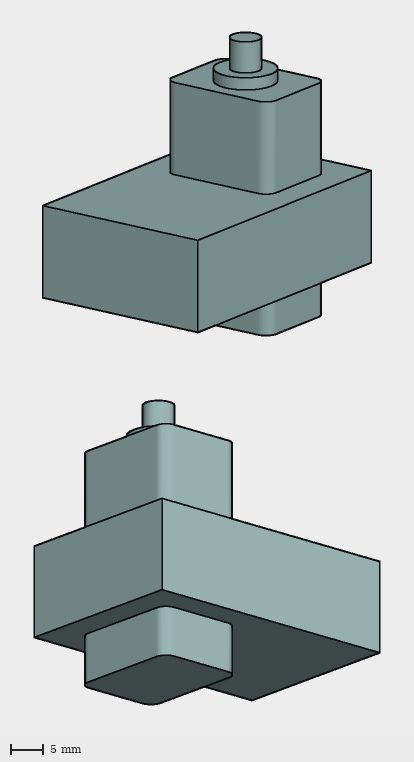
import cadquery as cq

total_height = 45.0
plate_length = 45.0
plate_width = 30.0
plate_thickness = 15.0

column_margin = 5.0
column_width = plate_width - 2 * column_margin
column_depth = 15.0
column_corner_radius = 2.0
column_below_plate = 8.0
column_above_plate = 15.0
column_height = column_below_plate + plate_thickness + column_above_plate
column_y = plate_length / 2 - column_margin - column_depth / 2

collar_diameter = 10.0
collar_height = 2.0
pin_diameter = collar_diameter / 2
pin_height = total_height - column_height - collar_height


def make_plate():
    """Rectangular plate, centred on X and Y."""
    return (
        cq.Workplane("XY", origin=(0, 0, column_below_plate))
        .rect(plate_width, plate_length)
        .extrude(plate_thickness)
    )


def make_column():
    """Column with rounded vertical edges, standing on Z = 0."""
    return (
        cq.Workplane("XY", origin=(0, column_y, 0))
        .rect(column_width, column_depth)
        .extrude(column_height)
        .edges("|Z")
        .fillet(column_corner_radius)
    )


def make_cylinder(diameter, height, base_z):
    """Upright cylinder on the column axis."""
    return (
        cq.Workplane("XY", origin=(0, column_y, base_z))
        .circle(diameter / 2)
        .extrude(height)
    )


collar = make_cylinder(collar_diameter, collar_height, column_height)
pin = make_cylinder(pin_diameter, pin_height, column_height + collar_height)

result = make_plate().union(make_column()).union(collar).union(pin)